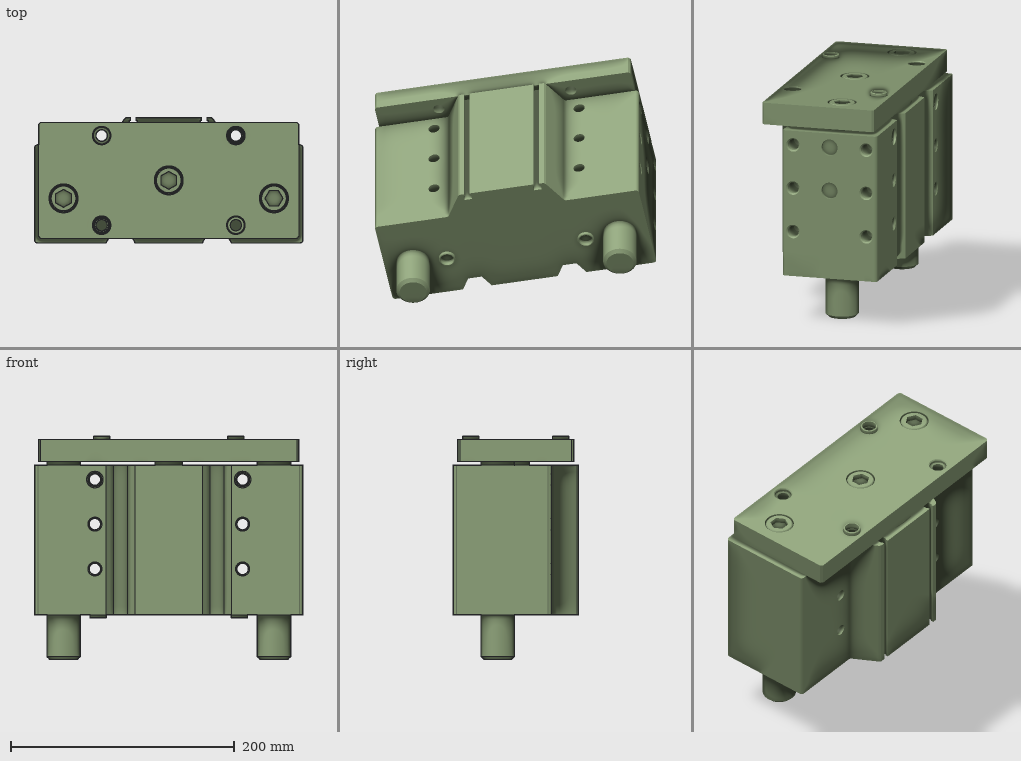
import cadquery as cq
import math


housing_width = 240.0
housing_depth = 112.0
housing_height = 134.0
front_y = -housing_depth / 2
back_y = housing_depth / 2
shoulder_y = 32.0
corner_radius = 3.0
wall_slope = math.tan(math.radians(30))

ridge_half_width = 38.5
ridge_edge = 1.7
slot_x = 31.7
slot_mouth = 4.8
slot_width = 7.0
slot_lip = 2.5
slot_depth = 7.0

groove_outer_x = 56.2
groove_inner_x = 30.0
groove_depth = 12.0

cap_bore_diameter = 102.0
cap_rim_diameter = 100.0

thread_diameter = 10.0
countersink_diameter = 12.5
hole_rows_z = [41.0, 81.0, 121.0]
front_hole_x = 66.0
side_hole_centre_y = -12.0
side_hole_offset = 34.0
side_hole_depth = 20.0
drill_point_angle = 118.0

port_diameter = 15.0
port_recess = 3.5
plug_length = 6.0
port_rows_z = hole_rows_z[1:]

sleeve_diameter = 15.0
sleeve_bore = 12.5
sleeve_length = 6.0
sleeve_projection = 3.0
sleeve_edge = 0.5
seat_depth = sleeve_length - sleeve_projection
bottom_sleeve_x = 63.0

plate_width = 232.8
plate_depth = 104.0
plate_thickness = 20.0
plate_gap = 3.0
plate_corner = 2.0
plate_bottom_z = housing_height + plate_gap
plate_top_z = plate_bottom_z + plate_thickness
plate_hole_x = 60.0
plate_hole_y = 40.0
plate_seat_rim = 16.5
piston_rod_diameter = 25.0
piston_rod_depth = 30.0
guide_rod_diameter = 30.0
guide_rod_projection = 40.0
guide_rod_x = 94.0
guide_rod_y = -16.0
guide_tip_chamfer = 3.0

head_bore_diameter = 26.0
head_diameter = 24.0
head_edge = 1.0
head_gap_depth = 3.5
hexagon_flats = 14.0
hexagon_depth = 5.0
hexagon_points_along_x = 30
hexagon_points_along_y = 0


def disc(diameter, height, x, y, z):
    """Vertical cylinder standing on height z."""
    return cq.Workplane("XY", origin=(x, y, z)).circle(diameter / 2).extrude(height)


def cone(bottom_diameter, top_diameter, height, x, y, z):
    """Vertical truncated cone standing on height z."""
    return cq.Workplane(
        cq.Solid.makeCone(bottom_diameter / 2, top_diameter / 2, height, cq.Vector(x, y, z))
    )


def stepped_bore(profile, start, direction):
    """Round cutter from (radius, depth) points, the last on the axis, entering at `start`."""
    outline = [(0, 0)] + profile
    plane = cq.Plane(origin=(0, 0, 0), xDir=(1, 0, 0), normal=(0, -1, 0))
    cutter = cq.Workplane(plane).polyline(outline).close().revolve(360, (0, 0), (0, 1))
    placement = cq.Location(cq.Plane(origin=start, normal=direction))
    return cq.Workplane(cutter.val().moved(placement))


def trapezoid_groove(side):
    floor_y = front_y + groove_depth
    inset = groove_depth * wall_slope
    corners = [
        (side * groove_outer_x, front_y),
        (side * (groove_outer_x - inset), floor_y),
        (side * (groove_inner_x + inset), floor_y),
        (side * groove_inner_x, front_y),
    ]
    return cq.Workplane("XY").polyline(corners).close().extrude(housing_height)


def t_slot(side):
    mouth = (
        cq.Workplane("XY").center(side * slot_x, back_y - slot_lip / 2)
        .rect(slot_mouth, slot_lip).extrude(housing_height)
    )
    chamber_depth = slot_depth - slot_lip
    chamber = (
        cq.Workplane("XY").center(side * slot_x, back_y - slot_lip - chamber_depth / 2)
        .rect(slot_width, chamber_depth).extrude(housing_height)
    )
    return mouth.union(chamber)


def make_profile():
    """Extruded body of the housing with its ridge, grooves and slots."""
    wing_depth = shoulder_y - front_y
    wings = (
        cq.Workplane("XY").center(0, front_y + wing_depth / 2)
        .rect(housing_width, wing_depth).extrude(housing_height)
        .edges("|Z").fillet(corner_radius)
    )
    wall_top_x = ridge_half_width + ridge_edge
    wall_top_y = back_y - ridge_edge
    wall_foot_x = wall_top_x + (wall_top_y - shoulder_y) * wall_slope
    right_half = [
        (wall_foot_x, 0),
        (wall_foot_x, shoulder_y),
        (wall_top_x, wall_top_y),
        (ridge_half_width, back_y),
    ]
    left_half = [(-x, y) for x, y in reversed(right_half)]
    ridge = cq.Workplane("XY").polyline(right_half + left_half).close().extrude(housing_height)
    body = wings.union(ridge)
    foot = cq.selectors.BoxSelector(
        (-wall_foot_x - corner_radius, shoulder_y - ridge_edge, 0),
        (wall_foot_x + corner_radius, shoulder_y + ridge_edge, housing_height),
    )
    body = body.edges("|Z").edges(foot).fillet(corner_radius)
    for side in (-1, 1):
        body = body.cut(trapezoid_groove(side)).cut(t_slot(side))
    return body


def front_hole(x, z, has_seat):
    """Through hole along Y, countersunk, with a sleeve seat in the top row."""
    rim = countersink_diameter / 2
    core = thread_diameter / 2
    seat = seat_depth if has_seat else 0
    profile = [(rim, seat), (core, seat + rim - core), (core, housing_depth), (0, housing_depth)]
    if has_seat:
        profile = [(sleeve_diameter / 2, 0), (sleeve_diameter / 2, seat)] + profile
    return stepped_bore(profile, (x, front_y, z), (0, 1, 0))


def side_hole(y, z):
    """Blind countersunk hole with a drill point."""
    rim = countersink_diameter / 2
    core = thread_diameter / 2
    point = core / math.tan(math.radians(drill_point_angle / 2))
    profile = [(rim, 0), (core, rim - core), (core, side_hole_depth), (0, side_hole_depth + point)]
    return stepped_bore(profile, (-housing_width / 2, y, z), (1, 0, 0))


def port(z, start, length):
    """Cylinder along X on a port axis, starting at depth `start` below the left side."""
    origin = (-housing_width / 2 + start, side_hole_centre_y, z)
    return cq.Workplane("YZ", origin=origin).circle(port_diameter / 2).extrude(length)


def cap_groove():
    """V-shaped ring where the bevelled end cap meets the housing top."""
    bevel = (cap_bore_diameter - cap_rim_diameter) / 2
    z = housing_height - bevel
    ring = disc(cap_bore_diameter, bevel, 0, 0, z)
    return ring.cut(cone(cap_bore_diameter, cap_rim_diameter, bevel, 0, 0, z))


def make_housing():
    body = make_profile().cut(cap_groove())
    for z in hole_rows_z:
        for side in (-1, 1):
            body = body.cut(front_hole(side * front_hole_x, z, z == hole_rows_z[-1]))
            y = side_hole_centre_y + side * side_hole_offset
            body = body.cut(side_hole(y, z))
    for z in port_rows_z:
        body = body.cut(port(z, 0, port_recess + plug_length))
    for side in (-1, 1):
        body = body.cut(disc(guide_rod_diameter, housing_height, side * guide_rod_x, guide_rod_y, 0))
        body = body.cut(disc(sleeve_diameter, seat_depth, side * bottom_sleeve_x, guide_rod_y, 0))
    return body.cut(disc(piston_rod_diameter, piston_rod_depth, 0, 0, housing_height - piston_rod_depth))


def make_plug(z):
    return port(z, port_recess, plug_length)


def make_sleeve(x, y, z):
    """Centring sleeve standing on height z."""
    ring = disc(sleeve_diameter, sleeve_length, x, y, z).edges().chamfer(sleeve_edge)
    return ring.cut(disc(sleeve_bore, sleeve_length, x, y, z))


def plate_hole(x, y):
    """Through hole with a bevelled sleeve seat on top."""
    seat = sleeve_diameter / 2
    rim = plate_seat_rim / 2
    core = thread_diameter / 2
    profile = [
        (rim, 0), (seat, rim - seat), (seat, seat_depth),
        (core, seat_depth), (core, plate_thickness), (0, plate_thickness),
    ]
    return stepped_bore(profile, (x, y, plate_top_z), (0, 0, -1))


def screw_head_cut(x, y, turn):
    """Ring gap around a flush screw head and its socket; `turn` rotates the hexagon."""
    floor_z = plate_top_z - head_gap_depth
    head = disc(head_diameter, head_gap_depth, x, y, floor_z).faces(">Z").chamfer(head_edge)
    socket = (
        cq.Workplane("XY", origin=(x, y, plate_top_z - hexagon_depth)).transformed(rotate=(0, 0, turn))
        .polygon(6, hexagon_flats, circumscribed=True).extrude(hexagon_depth)
    )
    return disc(head_bore_diameter, head_gap_depth, x, y, floor_z).cut(head).union(socket)


def guide_rod(x):
    """Rod from the plate through the housing, chamfered at its lower end."""
    length = plate_bottom_z + guide_rod_projection
    rod = disc(guide_rod_diameter, length, x, guide_rod_y, -guide_rod_projection)
    return rod.faces("<Z").chamfer(guide_tip_chamfer)


def make_yoke():
    yoke = (
        cq.Workplane("XY", origin=(0, 0, plate_bottom_z))
        .rect(plate_width, plate_depth).extrude(plate_thickness)
        .edges("|Z").chamfer(plate_corner)
    )
    yoke = yoke.union(disc(piston_rod_diameter, piston_rod_depth + plate_gap, 0, 0,
                           housing_height - piston_rod_depth))
    for side in (-1, 1):
        yoke = yoke.union(guide_rod(side * guide_rod_x))
        for end in (-1, 1):
            yoke = yoke.cut(plate_hole(side * plate_hole_x, end * plate_hole_y))
    yoke = yoke.cut(screw_head_cut(-guide_rod_x, guide_rod_y, hexagon_points_along_y))
    yoke = yoke.cut(screw_head_cut(0, 0, hexagon_points_along_y))
    return yoke.cut(screw_head_cut(guide_rod_x, guide_rod_y, hexagon_points_along_x))


housing = make_housing()
yoke = make_yoke()
plugs = [make_plug(z) for z in port_rows_z]
sleeves = []
for side in (-1, 1):
    sleeves.append(make_sleeve(side * plate_hole_x, side * plate_hole_y, plate_top_z - seat_depth))
    sleeves.append(make_sleeve(side * bottom_sleeve_x, guide_rod_y, -sleeve_projection))

result = cq.Compound.makeCompound(
    [housing.val(), yoke.val()]
    + [plug.val() for plug in plugs]
    + [sleeve.val() for sleeve in sleeves]
)